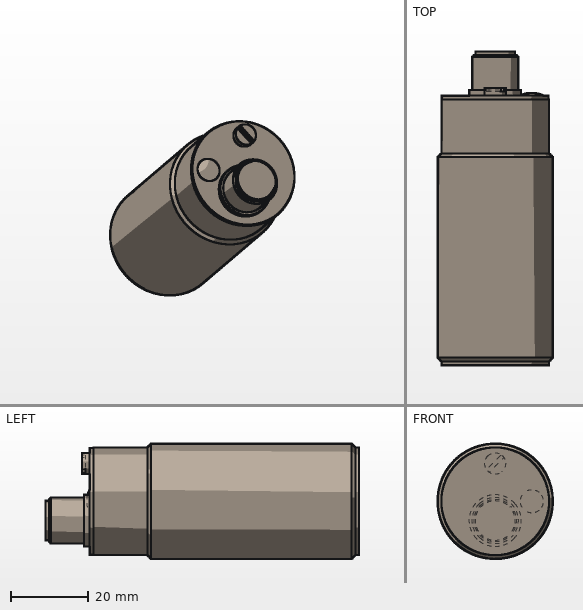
import cadquery as cq


overall_length = 81.5
body_diameter = 30.0
head_diameter = 28.0
cap_diameter = 27.8
rim_length = 1.0
bevel = (body_diameter - head_diameter) / 2
straight_end = 54.0
connector_length = 11.5
cap_length = 1.0
end_face = overall_length - connector_length

connector_z = -5.0
flange_diameter = 13.5
flange_length = 1.5
thread_diameter = 12.0
thread_chamfer = 0.5
tip_diameter = 10.3
tip_length = 1.0

screw_z = 9.8
screw_diameter = 5.5
screw_height = 2.0
screw_slot_width = 1.0
screw_slot_depth = 1.0
screw_slot_angle = 45.0

lamp_x = 9.5
lamp_diameter = 6.0
lamp_height = 0.75


def cylinder(diameter, start, length, x=0.0, z=0.0):
    """Cylinder along +Y that starts at Y = start."""
    plane = cq.Plane(origin=(x, start, z), xDir=(1, 0, 0), normal=(0, 1, 0))
    return cq.Workplane(plane).circle(diameter / 2).extrude(length)


def make_housing():
    rim = cylinder(head_diameter, 0, rim_length)
    body = cylinder(body_diameter, rim_length, straight_end + bevel - rim_length).edges().chamfer(bevel)
    head = cylinder(head_diameter, straight_end, end_face - cap_length - straight_end)
    cap = cylinder(cap_diameter, end_face - cap_length, cap_length)
    return rim.union(body).union(head).union(cap)


def make_connector():
    thread_end = overall_length - tip_length
    flange = cylinder(flange_diameter, end_face, flange_length, z=connector_z)
    thread = cylinder(thread_diameter, end_face, thread_end - end_face, z=connector_z)
    thread = thread.faces(">Y").chamfer(thread_chamfer)
    tip = cylinder(tip_diameter, thread_end, tip_length, z=connector_z)
    return flange.union(thread).union(tip)


def make_screw():
    """Screw head with a diagonal screwdriver slot across its face."""
    screw = cylinder(screw_diameter, end_face, screw_height, z=screw_z)
    slot_length = 2 * screw_diameter
    slot = (
        cq.Workplane("XY")
        .box(slot_length, 2 * screw_slot_depth, screw_slot_width)
        .rotate((0, 0, 0), (0, 1, 0), -screw_slot_angle)
        .translate((0, end_face + screw_height, screw_z))
    )
    return screw.cut(slot)


def make_lamp():
    """Shallow spherical cap that stands on the end face."""
    lamp_radius = lamp_diameter / 2
    sphere_radius = (lamp_radius**2 + lamp_height**2) / (2 * lamp_height)
    sphere_y = end_face + lamp_height - sphere_radius
    sphere = cq.Workplane("XY").sphere(sphere_radius).translate((lamp_x, sphere_y, 0))
    blank = cylinder(lamp_diameter, end_face - cap_length / 2, cap_length / 2 + lamp_height, x=lamp_x)
    return blank.intersect(sphere)


result = make_housing().union(make_connector()).union(make_screw()).union(make_lamp())